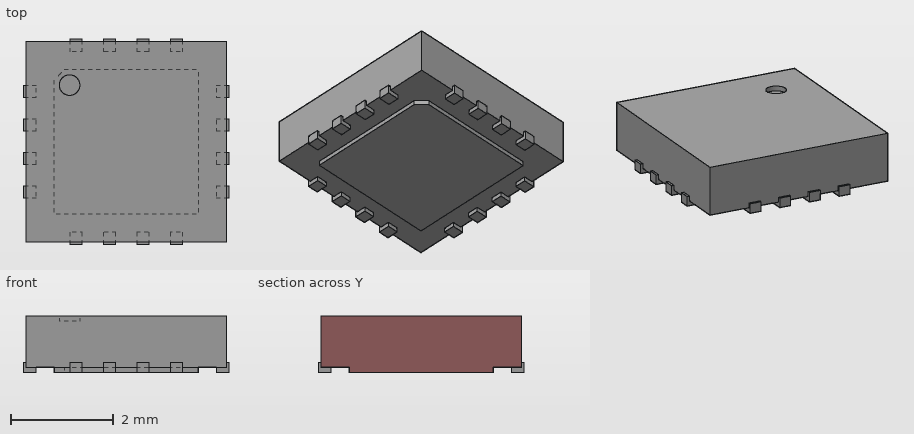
import cadquery as cq

overall_size = 4.0
body_size = 3.9
body_height = 1.0
standoff = 0.1

sides = 4
leads_per_side = 4
alternate_lead_spacing = 1.3
lead_pitch = alternate_lead_spacing / 2
lead_width = 0.24
lead_length = 0.25
lead_height = 2 * standoff

pad_size = 2.8
pad_corner_cut = 0.2

dimple_diameter = 0.4
dimple_depth = 0.1
dimple_offset = 1.1


def make_body():
    """Square package body with the pin 1 dimple towards its -X, +Y corner."""
    body = cq.Workplane("XY").workplane(offset=standoff).rect(body_size, body_size).extrude(body_height)
    dimple = (
        cq.Workplane("XY")
        .workplane(offset=standoff + body_height - dimple_depth)
        .center(-dimple_offset, dimple_offset)
        .circle(dimple_diameter / 2)
        .extrude(dimple_depth)
    )
    return body.cut(dimple)


def make_pad():
    """Thermal pad filling the standoff, chamfered at its -X, +Y corner."""
    pad = cq.Workplane("XY").rect(pad_size, pad_size).extrude(standoff)
    return pad.edges("|Z").edges("<X").edges(">Y").chamfer(pad_corner_cut)


def make_lead_row():
    """Row of leads along the +X side, sticking out slightly past the body."""
    return (
        cq.Workplane("XY")
        .center((overall_size - lead_length) / 2, 0)
        .rarray(lead_pitch, lead_pitch, 1, leads_per_side)
        .rect(lead_length, lead_width)
        .extrude(lead_height)
    )


result = make_body().union(make_pad())
for side in range(sides):
    side_angle = side * 360 / sides
    result = result.union(make_lead_row().rotate((0, 0, 0), (0, 0, 1), side_angle))